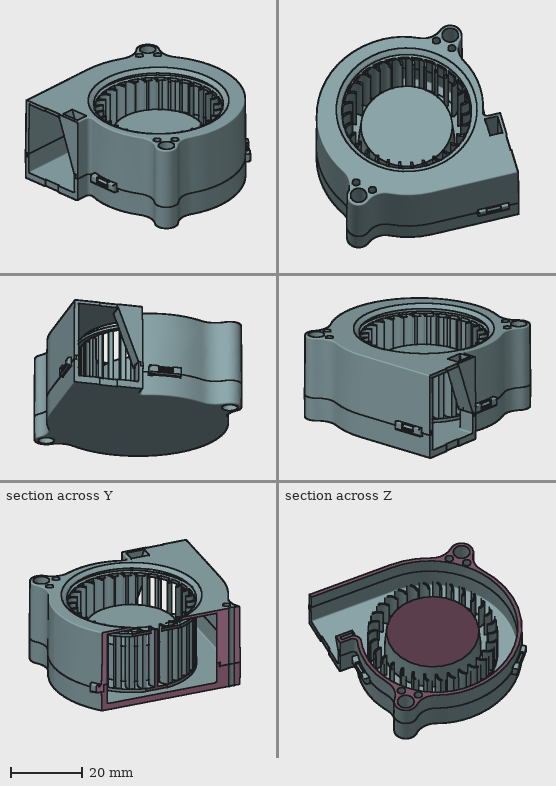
import cadquery as cq
import math


HEIGHT = 24.8
SEAM_Z = 6.95
FLOOR = 2.1
ROOF = 1.0
LIP_HEIGHT = 1.15
LIP_THICKNESS = 0.7
WALL = 1.3
DRAFT = 0.5
EDGE_ROUND = 0.35
FLOOR_ROUND = 0.4
LIP_TOP = SEAM_Z + LIP_HEIGHT
CAVITY_TOP = HEIGHT - ROOF

REACH_BOTTOM = 22.0
REACH_RIGHT = 23.8
REACH_TOP = 25.85
REACH_LEFT = 27.45
LEFT_RADIUS = REACH_TOP
LEFT_CENTER = (LEFT_RADIUS - REACH_LEFT, 0)
TOP_RADIUS = REACH_RIGHT - LEFT_CENTER[0]
TOP_CENTER = (LEFT_CENTER[0], REACH_TOP - TOP_RADIUS)
LOW_RADIUS = REACH_BOTTOM + TOP_CENTER[1]
LOW_CENTER = (REACH_RIGHT - LOW_RADIUS, TOP_CENTER[1])

FRONT_Y = -25.25
OUTLET_RIGHT = -7.4
NECK_ROUND = 1.05
NECK_CENTER_X = OUTLET_RIGHT + NECK_ROUND
NECK_CENTER_Y = LOW_CENTER[1] - math.sqrt(
    (LOW_RADIUS + NECK_ROUND) ** 2 - (NECK_CENTER_X - LOW_CENTER[0]) ** 2
)
NECK_CENTER = (NECK_CENTER_X, NECK_CENTER_Y)
NOTCH_LEFT = -19.95
NOTCH_WIDTH = 5.05
NOTCH_DEPTH = 0.35

WEDGE_TOP_LEFT = -14.95
WEDGE_SLOPE = 2.7
WEDGE_LENGTH = 5.2
POCKET_LEFT = -14.0
POCKET_RIGHT = -8.5
POCKET_FRONT = -24.1
POCKET_BACK = -20.45

EAR_RADIUS = 3.4
EAR_BLEND = 5.75
REAR_EAR = (-22.9, 20.05)
FRONT_EAR = (19.9, -17.95)
MOUNT_HOLE_RADIUS = 2.25
PIN_HOLE_RADIUS = 1.05
PIN_HOLES = [(-18.75, 19.65), (-22.25, 15.85), (19.15, -13.75), (15.7, -17.35)]

INLET_RIM_RADIUS = 19.75
INLET_FUNNEL_RADIUS = 19.35
INLET_STEP_RADIUS = 18.7
INLET_THROAT_RADIUS = 18.15
INLET_RIM_DEPTH = 0.25
INLET_STEP_DEPTH = 0.65

CLIPS = [
    (-28.4, -17.8, 180, 1.65),
    (-0.1, -23.05, -91, 1.95),
    (16.4, 19.8, 47.5, 1.65),
]
CLIP_LENGTH = 9.0
CLIP_BOTTOM = 5.95
CLIP_TOP = 8.45
CLIP_CHAMFER = 0.45
CLIP_ROUND = 0.3
CLIP_CLEARANCE = 0.15
CLIP_NOTCH_WIDTH = 4.1
CATCH_FACE_HEIGHT = 0.4
CATCH_SETBACK = 0.2
CATCH_RUN = 0.85

BASE_BOTTOM = 3.45
BASE_TOP = 4.45
BASE_RADIUS = 18.25
RING_BOTTOM = 21.55
IMPELLER_TOP = 22.5
RING_OUTER = 19.4
RING_INNER = 18.0
HUB_RADIUS = 13.5
HUB_TOP_RADIUS = 12.8
HUB_CONE_Z = 5.95
HUB_TOP = 15.15
BLADE_COUNT = 30
BLADE_THICKNESS = 0.6
BLADE_INNER = 15.8
BLADE_OUTER = 18.2
BLADE_CURVE = 2.5
FIRST_BLADE = 86.1


def toward(start, end, distance):
    """Point at a distance from start in the direction of end."""
    span = math.dist(start, end)
    return tuple(a + (b - a) * distance / span for a, b in zip(start, end))


def polar(center, radius, degrees):
    angle = math.radians(degrees)
    return (center[0] + radius * math.cos(angle), center[1] + radius * math.sin(angle))


def arc_to(path, center, radius, end):
    """Continue the path to end along the shorter arc about center."""
    start = path.val().endPoint()
    chord_middle = ((start.x + end[0]) / 2, (start.y + end[1]) / 2)
    return path.threePointArc(toward(center, chord_middle, radius), end)


def blend_center(center, radius, ear, side):
    """Center of the arc that touches a volute arc and an ear from outside."""
    from_volute = radius + EAR_BLEND
    from_ear = EAR_RADIUS + EAR_BLEND
    span = math.dist(center, ear)
    along = (span**2 + from_volute**2 - from_ear**2) / (2 * span)
    bearing = math.degrees(math.atan2(ear[1] - center[1], ear[0] - center[0]))
    return polar(center, from_volute, bearing + side * math.degrees(math.acos(along / from_volute)))


def add_ear(path, center, radius, ear):
    """Follow a volute arc clockwise to an ear, round the ear and return to the volute."""
    before = blend_center(center, radius, ear, 1)
    after = blend_center(center, radius, ear, -1)
    path = arc_to(path, center, radius, toward(center, before, radius))
    path = arc_to(path, before, EAR_BLEND, toward(ear, before, EAR_RADIUS))
    path = path.threePointArc(toward(ear, center, -EAR_RADIUS), toward(ear, after, EAR_RADIUS))
    return arc_to(path, after, EAR_BLEND, toward(center, after, radius))


def outline(z, inset=0, ears=False):
    """Closed outline of the volute and outlet, moved inward by inset except at the outlet front."""
    left_radius = LEFT_RADIUS - inset
    top_radius = TOP_RADIUS - inset
    low_radius = LOW_RADIUS - inset
    neck_round = NECK_ROUND + inset
    left = LEFT_CENTER[0] - left_radius
    path = cq.Workplane("XY", origin=(0, 0, z)).moveTo(left, FRONT_Y).lineTo(left, LEFT_CENTER[1])
    if ears:
        path = add_ear(path, LEFT_CENTER, left_radius, REAR_EAR)
    path = arc_to(path, LEFT_CENTER, left_radius, polar(LEFT_CENTER, left_radius, 90))
    path = arc_to(path, TOP_CENTER, top_radius, polar(TOP_CENTER, top_radius, 0))
    if ears:
        path = add_ear(path, LOW_CENTER, low_radius, FRONT_EAR)
    path = arc_to(path, LOW_CENTER, low_radius, toward(LOW_CENTER, NECK_CENTER, low_radius))
    path = arc_to(path, NECK_CENTER, neck_round, (NECK_CENTER[0] - neck_round, NECK_CENTER[1]))
    return path.lineTo(NECK_CENTER[0] - neck_round, FRONT_Y).close()


def box(x0, x1, y0, y1, z0, z1):
    return cq.Workplane("XY").box(x1 - x0, y1 - y0, z1 - z0, centered=False).translate((x0, y0, z0))


def round_outer_edges(body, face):
    """Round the rim of a flat face except along the outlet front."""
    return body.faces(face).edges("not(<Y)").fillet(EDGE_ROUND)


def cut_mount_holes(body):
    holes = cq.Workplane("XY").pushPoints([REAR_EAR, FRONT_EAR]).circle(MOUNT_HOLE_RADIUS).extrude(HEIGHT)
    return body.cut(holes)


def cut_outlet_notches(body):
    right = NOTCH_LEFT + NOTCH_WIDTH
    return body.cut(box(NOTCH_LEFT, right, FRONT_Y, FRONT_Y + NOTCH_DEPTH, 0, HEIGHT))


def place_clip(shape, clip):
    """Move a shape built with its outer face on x = 0, facing +X, to a clip position."""
    x, y, angle, _ = clip
    return shape.rotate((0, 0, 0), (0, 0, 1), angle).translate((x, y, 0))


def clip_block(clip):
    """Snap clip with a notch in its top and a sloped catch in the notch."""
    depth = clip[3]
    half = CLIP_LENGTH / 2
    half_notch = CLIP_NOTCH_WIDTH / 2
    block = box(-depth, 0, -half, half, CLIP_BOTTOM, CLIP_TOP)
    block = block.edges(">X and <Z").chamfer(CLIP_CHAMFER)
    block = block.faces(">X").edges("|Z or >Z").fillet(CLIP_ROUND)
    notch = (
        cq.Workplane("XZ")
        .moveTo(0, SEAM_Z)
        .lineTo(-CATCH_SETBACK, SEAM_Z)
        .lineTo(-CATCH_SETBACK, SEAM_Z + CATCH_FACE_HEIGHT)
        .lineTo(-CATCH_RUN, LIP_TOP)
        .lineTo(-CATCH_RUN, CLIP_TOP)
        .lineTo(0, CLIP_TOP)
        .close()
        .extrude(half_notch, both=True)
    )
    return place_clip(block.cut(notch), clip)


def clip_recess(clip):
    half = CLIP_LENGTH / 2 + CLIP_CLEARANCE
    return place_clip(box(-clip[3], 0, -half, half, CLIP_BOTTOM, SEAM_Z), clip)


def wedge_prism(left, right, back, front):
    """Triangular prism below the roof with its sloped side falling toward +X."""
    return (
        cq.Workplane("XZ", origin=(0, back, 0))
        .moveTo(left, HEIGHT)
        .lineTo(right, HEIGHT)
        .lineTo(right, HEIGHT - WEDGE_SLOPE * (right - left))
        .close()
        .extrude(back - front)
    )


def make_upper_housing():
    body = outline(SEAM_Z, ears=True).extrude(HEIGHT - SEAM_Z, taper=DRAFT)
    envelope = round_outer_edges(body, ">Z")
    shell = envelope.cut(outline(SEAM_Z, WALL).extrude(CAVITY_TOP - SEAM_Z))

    wedge = wedge_prism(WEDGE_TOP_LEFT, OUTLET_RIGHT - WALL, FRONT_Y + WEDGE_LENGTH, FRONT_Y)
    shell = shell.union(wedge.intersect(envelope))
    shell = shell.cut(wedge_prism(POCKET_LEFT, POCKET_RIGHT, POCKET_BACK, POCKET_FRONT))

    inlet = (
        cq.Workplane("XZ")
        .moveTo(0, HEIGHT)
        .lineTo(INLET_RIM_RADIUS, HEIGHT)
        .lineTo(INLET_FUNNEL_RADIUS, HEIGHT - INLET_RIM_DEPTH)
        .lineTo(INLET_STEP_RADIUS, HEIGHT - INLET_STEP_DEPTH)
        .lineTo(INLET_THROAT_RADIUS, CAVITY_TOP)
        .lineTo(0, CAVITY_TOP)
        .close()
        .revolve()
    )
    pin_holes = cq.Workplane("XY").pushPoints(PIN_HOLES).circle(PIN_HOLE_RADIUS).extrude(HEIGHT)
    shell = shell.cut(inlet).cut(pin_holes)
    for clip in CLIPS:
        shell = shell.union(clip_block(clip))
    shell = shell.cut(outline(SEAM_Z, WALL - LIP_THICKNESS).extrude(LIP_HEIGHT))
    return cut_outlet_notches(cut_mount_holes(shell))


def make_lower_housing():
    body = outline(SEAM_Z, ears=True).extrude(-SEAM_Z, taper=DRAFT)
    shell = round_outer_edges(body, "<Z")
    lip = outline(SEAM_Z, WALL - LIP_THICKNESS).extrude(LIP_HEIGHT)
    cavity = outline(FLOOR, WALL).extrude(HEIGHT - FLOOR)
    cavity = cavity.faces("<Z").edges("not(<Y)").fillet(FLOOR_ROUND)
    shell = shell.union(lip).cut(cavity)
    for clip in CLIPS:
        shell = shell.cut(clip_recess(clip))
    return cut_outlet_notches(cut_mount_holes(shell))


def make_blade():
    """Blade that starts radially at its rounded inner end and curves back to the rim."""
    half = BLADE_THICKNESS / 2
    center = (BLADE_INNER, BLADE_CURVE)
    inner, outer = BLADE_CURVE - half, BLADE_CURVE + half
    height = IMPELLER_TOP - BASE_TOP
    curved = (
        cq.Workplane("XY", origin=(0, 0, BASE_TOP))
        .moveTo(*polar(center, outer, -90))
        .threePointArc(polar(center, outer, -45), polar(center, outer, 0))
        .lineTo(*polar(center, inner, 0))
        .threePointArc(polar(center, inner, -45), polar(center, inner, -90))
        .threePointArc((BLADE_INNER - half, 0), polar(center, outer, -90))
        .close()
        .extrude(height)
    )
    rim = cq.Workplane("XY", origin=(0, 0, BASE_TOP)).circle(BLADE_OUTER).extrude(height)
    return curved.intersect(rim)


def make_impeller():
    wheel = (
        cq.Workplane("XZ")
        .moveTo(0, BASE_BOTTOM)
        .lineTo(BASE_RADIUS, BASE_BOTTOM)
        .lineTo(BASE_RADIUS, BASE_TOP)
        .lineTo(HUB_RADIUS, BASE_TOP)
        .lineTo(HUB_RADIUS, HUB_CONE_Z)
        .lineTo(HUB_TOP_RADIUS, HUB_TOP)
        .lineTo(0, HUB_TOP)
        .close()
        .revolve()
    )
    ring = (
        cq.Workplane("XY", origin=(0, 0, RING_BOTTOM))
        .circle(RING_OUTER)
        .circle(RING_INNER)
        .extrude(IMPELLER_TOP - RING_BOTTOM)
    )
    blade = make_blade()
    pitch = 360 / BLADE_COUNT
    for index in range(BLADE_COUNT):
        wheel = wheel.union(blade.rotate((0, 0, 0), (0, 0, 1), FIRST_BLADE + index * pitch))
    return wheel.union(ring)


upper_housing = make_upper_housing()
lower_housing = make_lower_housing()
impeller = make_impeller()

result = cq.Compound.makeCompound([upper_housing.val(), lower_housing.val(), impeller.val()])